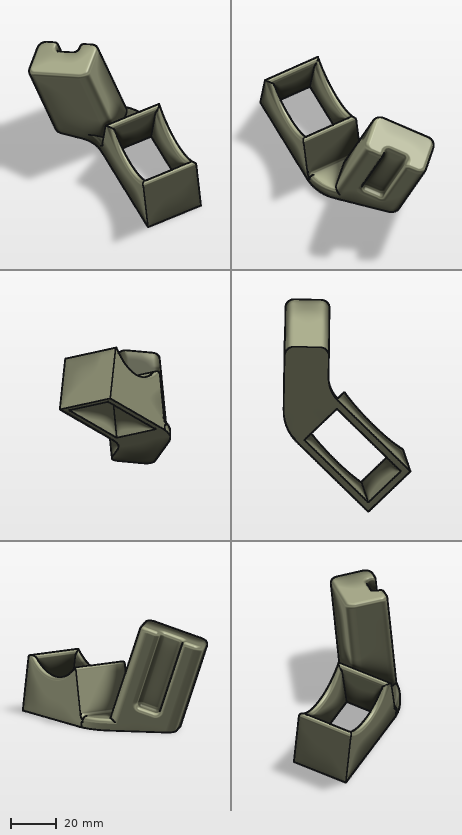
import cadquery as cq
import math

saddle_right = 85.6
saddle_length = 45.9
saddle_width = 26.0
saddle_taper = 10.2
saddle_blank_height = 34.25
wall = 3.0
scoop_radius = 23.1
scoop_bottom = 18.8
scoop_rim_round = 1.45

foot_height = 5.05
arm_angle = 46.0
arm_width = 19.4
arm_back_offset = 23.4
back_bend_radius = 20.1
front_bend_radius = 14.1
foot_reach = 5.1
edge_round = 2.0

block_lean = 18.0
block_length = 29.3
block_height = 44.9
block_corner_radius = 3.9
block_root = -0.8
root_depth = 6.85

groove_width = 10.5
groove_depth = 5.0
groove_bottom = 9.9

select_margin = 0.4

saddle_center = saddle_right - saddle_length / 2
saddle_left = saddle_right - saddle_length
angle = math.radians(arm_angle)
arm_center_offset = arm_back_offset + arm_width / 2


def arm_point(along, across):
    """XY point from distances outward along the arm and across toward its back."""
    return (
        -along * math.cos(angle) - across * math.sin(angle),
        -along * math.sin(angle) + across * math.cos(angle),
    )


def tapered_box(length, y_back, y_front):
    """Box whose end walls lean inward by the saddle taper."""
    inset = saddle_blank_height * math.tan(math.radians(saddle_taper))
    half = length / 2
    return (
        cq.Workplane("XZ", origin=(saddle_center, y_back, 0))
        .polyline([
            (-half, 0),
            (half, 0),
            (half - inset, saddle_blank_height),
            (inset - half, saddle_blank_height),
        ])
        .close()
        .extrude(y_back - y_front)
    )


def make_cavity():
    inner_length = saddle_length - 2 * wall / math.cos(math.radians(saddle_taper))
    return tapered_box(inner_length, -wall, wall - saddle_width)


def is_along_y(edge):
    direction = edge.tangentAt(0)
    return math.isclose(abs(direction.y), 1, abs_tol=1e-6)


def make_saddle():
    scoop = (
        cq.Workplane("XZ", origin=(saddle_center, 0, scoop_bottom + scoop_radius))
        .circle(scoop_radius)
        .extrude(saddle_width)
    )
    body = tapered_box(saddle_length, 0, -saddle_width).cut(make_cavity()).cut(scoop)
    rim = body.edges(cq.selectors.BoxSelector(
        (saddle_left, -saddle_width - select_margin, scoop_bottom - select_margin),
        (saddle_right, select_margin, saddle_blank_height),
    ))
    rim = rim.filter(lambda edge: edge.geomType() == "CIRCLE" or is_along_y(edge))
    return rim.fillet(scoop_rim_round)


def make_foot():
    def bend(side_y, across, radius):
        """Start, middle and end of the arc joining a saddle side to an arm side."""
        corner_x = (side_y * math.cos(angle) - across) / math.sin(angle)
        tangent = radius * math.tan(angle / 2)
        first_x = corner_x + tangent
        center_y = side_y - radius

        def on_arc(turn):
            return (first_x - radius * math.sin(turn), center_y + radius * math.cos(turn))

        return (first_x, side_y), on_arc(angle / 2), on_arc(angle)

    back = bend(0, -arm_back_offset, back_bend_radius)
    front = bend(-saddle_width, -arm_back_offset - arm_width, front_bend_radius)
    foot = (
        cq.Workplane("XY")
        .moveTo(*back[0])
        .threePointArc(back[1], back[2])
        .lineTo(*arm_point(foot_reach, -arm_back_offset))
        .lineTo(*arm_point(foot_reach, -arm_back_offset - arm_width))
        .lineTo(*front[2])
        .threePointArc(front[1], front[0])
        .lineTo(back[0][0], -saddle_width)
        .close()
        .extrude(foot_height)
    )
    rim = foot.faces(">Z").edges("%CIRCLE")
    return rim.fillet(edge_round)


def make_cove():
    """Concave blend between the foot top and the saddle end wall, turned down over both rims."""
    taper = math.radians(saddle_taper)
    tangent = edge_round * math.tan((math.pi / 2 - taper) / 2)
    corner_x = saddle_left + foot_height * math.tan(taper)
    center = (corner_x - tangent, foot_height + edge_round)
    wall_end = (corner_x + tangent * math.sin(taper), foot_height + tangent * math.cos(taper))
    half_sweep = (math.pi / 2 - taper) / 2
    arc_middle = (
        center[0] + edge_round * math.sin(half_sweep),
        center[1] - edge_round * math.cos(half_sweep),
    )
    axis_z = foot_height - edge_round

    def profile(y):
        return (
            cq.Workplane("XZ", origin=(0, y, 0))
            .moveTo(center[0], axis_z)
            .lineTo(center[0], foot_height)
            .threePointArc(arc_middle, wall_end)
            .lineTo(wall_end[0], axis_z)
            .close()
        )

    back_axis = -edge_round
    front_axis = edge_round - saddle_width
    cove = profile(back_axis).extrude(back_axis - front_axis)
    for y in (back_axis, front_axis):
        cove = cove.union(profile(y).revolve(360, (0, axis_z, 0), (1, axis_z, 0)))
    side_limit = (
        cq.Workplane("XY")
        .box(saddle_right, saddle_width, saddle_blank_height, centered=False)
        .translate((0, -saddle_width, 0))
    )
    return cove.intersect(side_limit)


def make_block():
    """Block built upright: X outward along the arm, Y across toward the front."""
    full_height = block_height + root_depth
    bar = (
        cq.Workplane("XY", origin=(0, 0, -root_depth))
        .rect(block_length, arm_width)
        .extrude(full_height)
        .edges("|Z")
        .fillet(block_corner_radius)
    )
    groove = (
        cq.Workplane("XY")
        .box(groove_width, 2 * groove_depth, block_height, centered=(True, True, False))
        .translate((0, -arm_width / 2, groove_bottom))
        .edges("(|Y and <Z) or >Y")
        .edges("not >Z")
        .fillet(edge_round)
    )
    bar = bar.cut(groove)
    lip_zone = cq.selectors.BoxSelector(
        (-groove_width / 2 - select_margin, -arm_width / 2 - select_margin, groove_bottom - select_margin),
        (groove_width / 2 + select_margin, -arm_width / 2 + select_margin, block_height - select_margin),
    )
    rounded_edges = bar.faces(">Z").edges().add(bar.edges(lip_zone))
    bar = rounded_edges.fillet(edge_round)
    bar = bar.rotate((0, 0, 0), (0, 1, 0), block_lean)
    bar = bar.rotate((0, 0, 0), (0, 0, 1), 180 + arm_angle)
    return bar.translate((*arm_point(block_root, -arm_center_offset), 0))


trim_size = 4 * saddle_right
trim_depth = 3 * root_depth
trim = (
    cq.Workplane("XY")
    .box(trim_size, trim_size, trim_depth, centered=(True, True, False))
    .translate((0, 0, -trim_depth))
)
foot = make_foot().union(make_cove()).cut(make_cavity())
result = make_saddle().union(foot).union(make_block()).cut(trim)